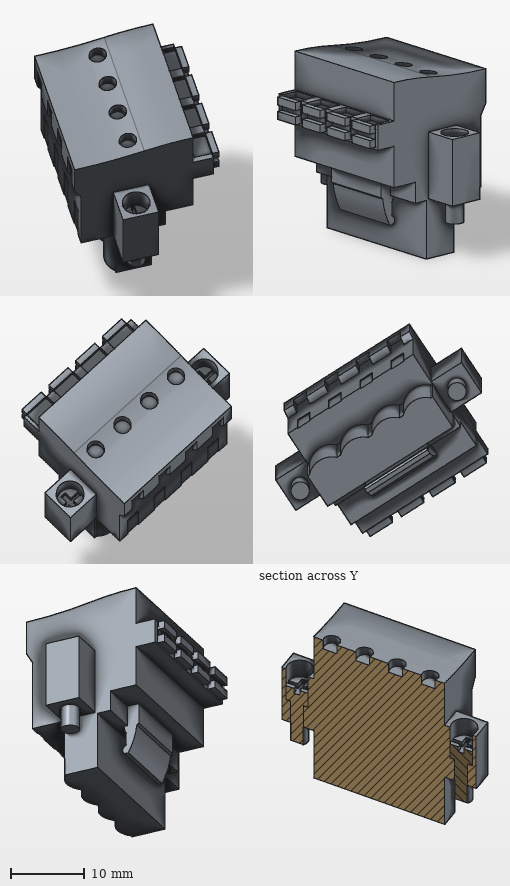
import cadquery as cq


pole_count = 4
body_width = 20.3
pitch = body_width / pole_count
pole_xs = [(i - (pole_count - 1) / 2) * pitch for i in range(pole_count)]

overall_width = 30.12
body_top = 26.23
top_drop = 1.33
body_bottom = 8.3
body_back = 8.75
top_inflection_y = 1.87
overhang_front = -7.98
body_front = -7.08
overhang_bottom = 20.03
overhang_foot = 18.5
step_wall_y = 4.85
step_roof = 11.3

plug_back = 2.9
plug_front = -2.15
bulge_width = 4.45
bulge_height = 0.93

test_hole_diameter = 2.35
test_hole_y = 0.25
test_hole_floor = 23.98
window_width = 2.15
window_top = 23.22
recess_width = 2.0
recess_top = 13.37
recess_depth = 0.12

flange_back = 11.65
flange_bottom = 17.17
flange_top = 20.75
lever_shift_x = -0.12
lever_front = 9.2
lever_bottom = 17.47
pocket_width = 3.8

lever_width = 3.65
lever_back = 11.75
lever_floor = 20.0
tab_back = 12.65
tab_height = 1.15
upper_tab_top = 20.65

latch_width = 2 * pitch
latch_back = 6.6
latch_bevel_end = (6.3, 8.07)
hook_back_mid = (5.72, 5.65)
hook_tip_back = (5.0, 4.13)
hook_tip_front = (4.4, 4.13)
hook_nose = (4.13, 4.7)
hook_nose_end = (4.3, 5.12)
hook_neck_bottom = (4.65, 5.45)
hook_neck_top = (4.65, 7.25)
latch_root_front = 4.25

block_width = (overall_width - body_width) / 2
block_depth = 5.03
block_bottom = 8.52
block_top = 17.98
screw_offset_x = 12.7
screw_sides = (-1, 1)
head_diameter = 3.75
head_top = 14.97
head_seat = 12.47
shank_diameter = 2.5
shank_end = 5.33
slot_depth = 0.85
long_slot_width = 0.5
short_slot_width = 0.85
short_slot_length = 2.8


def box(x_centre, width, y_min, y_max, z_min, z_max):
    """Box centred on x_centre, with its Y and Z limits given."""
    base = cq.Workplane("XY", origin=(x_centre, y_min, z_min))
    return base.box(width, y_max - y_min, z_max - z_min, centered=(True, False, False))


def cylinder(x, y, diameter, z_min, z_max):
    """Vertical cylinder between two heights."""
    return cq.Workplane("XY", origin=(x, y, z_min)).circle(diameter / 2).extrude(z_max - z_min)


def circular_sag(run, end_drop, distance):
    """Fall at a distance from the level end of a shallow arc that falls end_drop over its run."""
    radius = (run**2 + end_drop**2) / (2 * end_drop)
    return radius - (radius**2 - distance**2) ** 0.5


def housing_body():
    """Side profile extruded across the width; its top is an S of two tangent arcs."""
    back_run = body_back - top_inflection_y
    front_run = top_inflection_y - overhang_front
    back_drop = top_drop * back_run / (back_run + front_run)
    front_drop = top_drop - back_drop
    front_top = body_top - top_drop
    back_mid = (body_back - back_run / 2, body_top - circular_sag(back_run, back_drop, back_run / 2))
    front_mid_rise = circular_sag(front_run, front_drop, front_run / 2)
    front_mid = (overhang_front + front_run / 2, front_top + front_mid_rise)
    return (
        cq.Workplane("YZ")
        .moveTo(body_back, body_top)
        .threePointArc(back_mid, (top_inflection_y, body_top - back_drop))
        .threePointArc(front_mid, (overhang_front, front_top))
        .lineTo(overhang_front, overhang_bottom)
        .lineTo(body_front, overhang_foot)
        .lineTo(body_front, body_bottom)
        .lineTo(step_wall_y, body_bottom)
        .lineTo(step_wall_y, step_roof)
        .lineTo(body_back, step_roof)
        .close()
        .extrude(body_width / 2, both=True)
    )


def plug():
    """Plug block with one rounded bulge per pole on its front."""
    block = box(0, body_width, plug_front, plug_back, 0, body_bottom)
    for x in pole_xs:
        bulge = (
            cq.Workplane("XY")
            .moveTo(x - bulge_width / 2, plug_front)
            .threePointArc((x, plug_front - bulge_height), (x + bulge_width / 2, plug_front))
            .close()
            .extrude(body_bottom)
        )
        block = block.union(bulge)
    return block


def latch():
    """Hooked latch that hangs from the step at the back."""
    return (
        cq.Workplane("YZ")
        .moveTo(step_wall_y, step_roof)
        .lineTo(latch_back, step_roof)
        .lineTo(latch_back, body_bottom)
        .lineTo(*latch_bevel_end)
        .threePointArc(hook_back_mid, hook_tip_back)
        .lineTo(*hook_tip_front)
        .threePointArc(hook_nose, hook_nose_end)
        .lineTo(*hook_neck_bottom)
        .lineTo(*hook_neck_top)
        .lineTo(latch_root_front, body_bottom)
        .lineTo(step_wall_y, body_bottom)
        .close()
        .extrude(latch_width / 2, both=True)
    )


def screw_block(side):
    """Block on one side of the housing, with a stepped hole for the screw."""
    block_x = side * (body_width + block_width) / 2
    block = box(block_x, block_width, -block_depth / 2, block_depth / 2, block_bottom, block_top)
    x = side * screw_offset_x
    block = block.cut(cylinder(x, 0, head_diameter, head_seat, block_top))
    return block.cut(cylinder(x, 0, shank_diameter, block_bottom, head_seat))


def pole_openings(x):
    """Test hole, window and shallow recess of one pole."""
    test_hole = cylinder(x, test_hole_y, test_hole_diameter, test_hole_floor, body_top)
    window = box(x, window_width, overhang_front, body_front, overhang_foot, window_top)
    recess = box(x, recess_width, body_front, body_front + recess_depth, body_bottom, recess_top)
    return test_hole.union(window).union(recess)


def lever_pocket(x):
    """Pocket in the flange for one lever, open at the top and the back."""
    return box(x, pocket_width, lever_front, flange_back, lever_bottom, flange_top)


def make_housing():
    """Housing with plug, latch, lever flange and screw blocks in one solid."""
    body = housing_body().union(plug()).union(latch())
    body = body.union(box(0, body_width, body_back, flange_back, flange_bottom, flange_top))
    for side in screw_sides:
        body = body.union(screw_block(side))
    for x in pole_xs:
        body = body.cut(pole_openings(x)).cut(lever_pocket(x + lever_shift_x))
    return body


def make_lever(x):
    """Lever block with two tabs at the back; the upper tab stands above the block."""
    lever = box(x, lever_width, lever_front, lever_back, lever_bottom, lever_floor)
    for tab_bottom in (lever_bottom, upper_tab_top - tab_height):
        lever = lever.union(box(x, lever_width, lever_back, tab_back, tab_bottom, tab_bottom + tab_height))
    return lever


def make_screw(x):
    """Cross-slotted screw: a head resting on the seat of its block, and a shank."""
    screw = cylinder(x, 0, head_diameter, head_seat, head_top)
    screw = screw.union(cylinder(x, 0, shank_diameter, shank_end, head_seat))
    slot_floor = head_top - slot_depth
    long_slot = box(x, head_diameter, -long_slot_width / 2, long_slot_width / 2, slot_floor, head_top)
    short_slot = box(x, short_slot_width, -short_slot_length / 2, short_slot_length / 2, slot_floor, head_top)
    short_slot = short_slot.intersect(cylinder(x, 0, short_slot_length, slot_floor, head_top))
    return screw.cut(long_slot).cut(short_slot)


housing = make_housing()
levers = [make_lever(x + lever_shift_x) for x in pole_xs]
screws = [make_screw(side * screw_offset_x) for side in screw_sides]

bodies = [housing, *levers, *screws]
result = cq.Compound.makeCompound([body.val() for body in bodies])